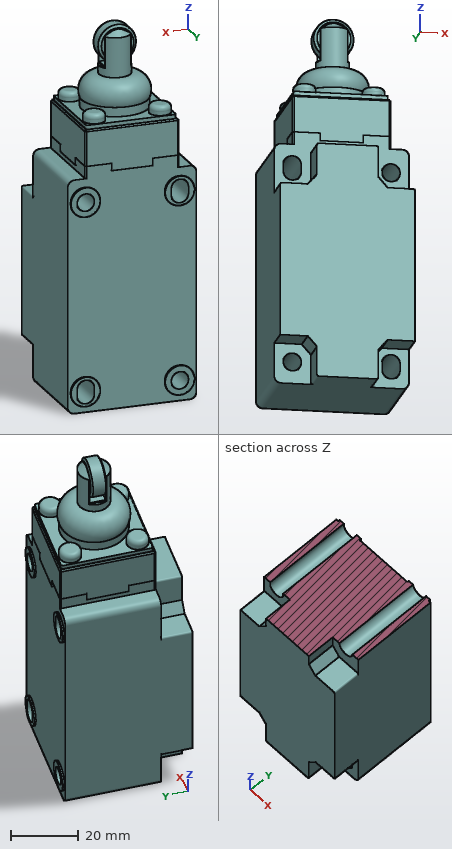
import cadquery as cq
import math


total_height = 116.7
housing_width = 41.0
housing_depth = 29.9
shoulder_height = 74.0
housing_corner_radius = 2.1

cover_depth = 9.8
cover_top = 72.0
cover_tab_width = 18.7
upper_step_height = 59.3
lower_step_height = 12.3
step_chamfer_width = 2.8
step_chamfer_height = 3.2
cover_edge_radius = 0.6

hole_spacing_x = 30.0
hole_spacing_z = 60.0
lower_hole_height = 6.7
hole_diameter = 5.5
slot_length = 7.5
boss_diameter = 9.3
boss_height = 0.6

head_width = housing_depth
neck_top = 77.8
key_width = 13.1
key_depth = 2.3
head_top = 89.3
head_chamfer = 0.5

plate_width = 28.6
plate_top = 90.6
plate_corner_radius = 0.7

screw_spacing = 21
screw_radius = 3.4
screw_flat_radius = 2.1
screw_height = 2.9
screw_rim_height = 1.2
screw_bulge = 0.4

boot_radius = 11.0
boot_bulge_radius = 5.4
boot_top = 101.0
boot_bulge_bottom = 93.5

roller_radius = 6.1
roller_chamfer_width = 0.5
roller_chamfer_height = 0.9
fork_radius = 5.0
fork_gap = 4.9
fork_width = 8.3
flats_bottom = 103.6
fork_floor = 104.1
fork_shoulder = 113.5
fork_tip = 115.4

front_face = -housing_depth / 2
back_face = housing_depth / 2
hole_center_height = lower_hole_height + hole_spacing_z / 2
boot_bulge_center_radius = boot_radius - boot_bulge_radius
boot_bulge_center_height = boot_top - boot_bulge_radius
roller_center_height = total_height - roller_radius


def centered_box(width, depth, bottom, top):
    """Box centred on the Z axis between two heights."""
    return (
        cq.Workplane("XY")
        .workplane(offset=bottom)
        .rect(width, depth)
        .extrude(top - bottom)
    )


def head_key(clear_top):
    """Cross-shaped key that runs through the neck both ways, up to the given height."""
    bottom = neck_top - key_depth
    along_x = centered_box(head_width, key_width, bottom, clear_top)
    along_y = centered_box(key_width, head_width, bottom, clear_top)
    return along_x.union(along_y)


def make_cover():
    """Front cover: full width in the middle, a narrow tab at the top and the bottom."""
    side = housing_width / 2
    tab = cover_tab_width / 2
    ledge = tab + step_chamfer_width
    right_side = [
        (tab, 0),
        (tab, lower_step_height - step_chamfer_height),
        (ledge, lower_step_height),
        (side, lower_step_height),
        (side, upper_step_height),
        (ledge, upper_step_height),
        (tab, upper_step_height + step_chamfer_height),
        (tab, cover_top),
    ]
    left_side = [(-x, z) for x, z in reversed(right_side)]
    cover = (
        cq.Workplane("XZ", origin=(0, front_face, 0))
        .polyline(right_side + left_side)
        .close()
        .extrude(cover_depth)
    )
    outward_corners = [(tab, 0), (side, upper_step_height), (tab, cover_top)]
    for x, z in outward_corners:
        for corner_x in (-x, x):
            corner = (corner_x, front_face - cover_depth / 2, z)
            cover = cover.edges(cq.NearestToPointSelector(corner)).fillet(cover_edge_radius)
    return cover


def make_housing():
    body = (
        centered_box(housing_width, housing_depth, 0, shoulder_height)
        .edges("|Y")
        .fillet(housing_corner_radius)
    )
    neck = (
        centered_box(head_width, head_width, shoulder_height, neck_top)
        .edges("|Z")
        .chamfer(head_chamfer)
    )
    housing = body.union(neck).union(make_cover()).cut(head_key(neck_top))

    mounting_plane = cq.Workplane("XZ", origin=(0, back_face, hole_center_height))
    bosses = (
        mounting_plane
        .rect(hole_spacing_x, hole_spacing_z, forConstruction=True)
        .vertices()
        .circle(boss_diameter / 2)
        .extrude(-boss_height)
    )
    housing = housing.union(bosses)

    hole_plane = mounting_plane.workplane(offset=-boss_height)
    hole_length = housing_depth + boss_height
    half_x = hole_spacing_x / 2
    half_z = hole_spacing_z / 2
    holes = (
        hole_plane
        .pushPoints([(half_x, half_z), (-half_x, -half_z)])
        .circle(hole_diameter / 2)
        .extrude(hole_length)
    )
    slots = (
        hole_plane
        .pushPoints([(-half_x, half_z), (half_x, -half_z)])
        .slot2D(slot_length, hole_diameter, 90)
        .extrude(hole_length)
    )
    return housing.cut(holes).cut(slots)


def make_screw_head():
    """Screw head with a rounded rim and a flat top, standing on z = 0."""
    bulge_point = (
        (screw_radius + screw_flat_radius) / 2 + screw_bulge,
        (screw_rim_height + screw_height) / 2 + screw_bulge,
    )
    return (
        cq.Workplane("XZ")
        .lineTo(screw_radius, 0)
        .lineTo(screw_radius, screw_rim_height)
        .threePointArc(bulge_point, (screw_flat_radius, screw_height))
        .lineTo(0, screw_height)
        .close()
        .revolve(360, (0, 0), (0, 1))
    )


def make_boot():
    """Round boot: a straight foot under a bulge that is tangent to the flat top."""
    drop = boot_bulge_center_height - boot_bulge_bottom
    foot_radius = boot_bulge_center_radius + math.sqrt(boot_bulge_radius**2 - drop**2)
    return (
        cq.Workplane("XZ")
        .moveTo(0, plate_top)
        .lineTo(foot_radius, plate_top)
        .lineTo(foot_radius, boot_bulge_bottom)
        .threePointArc((boot_radius, boot_bulge_center_height), (boot_bulge_center_radius, boot_top))
        .lineTo(0, boot_top)
        .close()
        .revolve(360, (0, 0), (0, 1))
    )


def make_head():
    block = (
        centered_box(head_width, head_width, neck_top, head_top)
        .edges("|Z or >Z")
        .chamfer(head_chamfer)
    )
    plate = (
        centered_box(plate_width, plate_width, head_top, plate_top)
        .edges("|Z")
        .fillet(plate_corner_radius)
    )
    head = block.union(head_key(neck_top)).union(plate).union(make_boot())
    for x in (-screw_spacing / 2, screw_spacing / 2):
        for y in (-screw_spacing / 2, screw_spacing / 2):
            head = head.union(make_screw_head().translate((x, y, plate_top)))
    return head


def make_plunger():
    """Round plunger on the boot: two side flats, a conical tip and a slot that forms the fork."""
    rod = (
        cq.Workplane("XZ")
        .moveTo(0, boot_top)
        .lineTo(fork_radius, boot_top)
        .lineTo(fork_radius, fork_shoulder)
        .lineTo(fork_gap / 2, fork_tip)
        .lineTo(0, fork_tip)
        .close()
        .revolve(360, (0, 0), (0, 1))
    )
    base = centered_box(2 * fork_radius, 2 * fork_radius, boot_top, flats_bottom)
    fork = centered_box(fork_width, 2 * fork_radius, flats_bottom, fork_tip)
    slot = centered_box(fork_width, fork_gap, fork_floor, fork_tip)
    return rod.intersect(base.union(fork)).cut(slot)


def make_roller():
    """Roller with chamfered rims that fills the width of the fork and turns about a Y axis."""
    half_width = fork_gap / 2
    rim_y = half_width - roller_chamfer_width
    side_radius = roller_radius - roller_chamfer_height
    return (
        cq.Workplane("YZ")
        .moveTo(-half_width, 0)
        .lineTo(-half_width, side_radius)
        .lineTo(-rim_y, roller_radius)
        .lineTo(rim_y, roller_radius)
        .lineTo(half_width, side_radius)
        .lineTo(half_width, 0)
        .close()
        .revolve(360, (0, 0), (1, 0))
        .translate((0, 0, roller_center_height))
    )


housing = make_housing()
head = make_head()
plunger = make_plunger()
roller = make_roller()

result = cq.Compound.makeCompound([housing.val(), head.val(), plunger.val(), roller.val()])